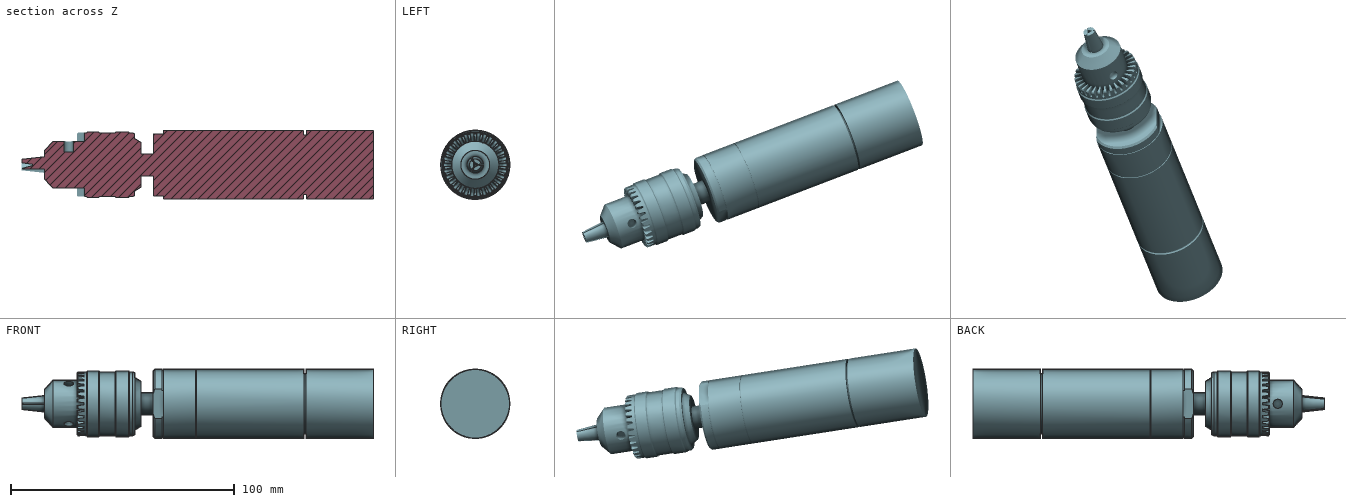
import cadquery as cq

total_length = 157.0

nose_start = 10.0
jaw_length = nose_start
jaw_tip_dia = 5.2
jaw_base_dia = 7.4
jaw_count = 3
jaw_gap = 0.6
jaw_gap_inner_radius = 1.9
grip_corner_radius = 1.5
grip_depth = 4.7
grip_taper = 8

nose_tip_dia = 12.9
nose_dia = 21.0
nose_cone_end = 13.8
key_hole_dia = 4.1
key_hole_depth = 4.7
key_hole_x = 20.9
key_hole_count = 3

sleeve_start = 24.6
sleeve_end = 50.4
sleeve_dia = 28.5
sleeve_edge = 0.5
band_dia = 29.5
band_bevel = 0.5
bands = ((28.9, 34.7), (41.6, 48.0))
sleeve_rear_bevel = 1.0

tooth_count = 30
tooth_depth = 3.1
slot_mouth_width = 1.7
slot_bottom_dia = 1.0

rear_cone_front_dia = 23.5
rear_cone_back_dia = 20.1
rear_cone_end = 53.2
shaft_dia = 10.0

handle_start = 58.5
handle_dia = 31.0
handle_chamfer = 0.8
flats_end = 63.1
flats_width = 28.0
seam_width = 0.5
seam_depth = 0.3
seam_x = 77.5
groove_start = 125.9
groove_width = 1.0
groove_dia = 26.8


def cylinder(start, end, dia):
    """Solid cylinder on the X axis."""
    return cq.Workplane("YZ").workplane(offset=start).circle(dia / 2).extrude(end - start)


def cone(start, end, start_dia, end_dia):
    """Solid frustum on the X axis."""
    outline = [(start, 0), (start, start_dia / 2), (end, end_dia / 2), (end, 0)]
    return cq.Workplane("XY").polyline(outline).close().revolve(360, (0, 0, 0), (1, 0, 0))


def ring_cut(start, width, inner_dia):
    """Ring that removes everything outside inner_dia."""
    return cylinder(start, start + width, 2 * handle_dia).cut(cylinder(start, start + width, inner_dia))


def around_axis(tool, count):
    """Copies of tool spaced evenly about the X axis."""
    step = 360 / count
    return [tool.rotate((0, 0, 0), (1, 0, 0), step * i) for i in range(count)]


def make_jaws():
    jaws = cone(0, jaw_length, jaw_tip_dia, jaw_base_dia)
    grip = cq.Workplane("YZ").polygon(3, 2 * grip_corner_radius).extrude(grip_depth, taper=grip_taper)
    jaws = jaws.cut(grip.rotate((0, 0, 0), (1, 0, 0), 180))
    gap = cq.Workplane("XY").box(jaw_length, jaw_base_dia, jaw_gap, centered=(False, False, True))
    gap = gap.translate((0, -jaw_gap_inner_radius - jaw_base_dia, 0))
    for tool in around_axis(gap, jaw_count):
        jaws = jaws.cut(tool)
    return jaws


def make_nose():
    nose = cone(nose_start, nose_cone_end, nose_tip_dia, nose_dia)
    nose = nose.union(cylinder(nose_cone_end, sleeve_end, nose_dia))
    hole = (
        cq.Workplane("XZ", origin=(key_hole_x, nose_dia / 2, 0))
        .circle(key_hole_dia / 2)
        .extrude(key_hole_depth)
    )
    for tool in around_axis(hole, key_hole_count):
        nose = nose.cut(tool)
    return nose


def make_tooth_slot():
    """Radial slot toward -Y, wide at the sleeve front and narrowing to a round bottom."""
    half_mouth = slot_mouth_width / 2
    bottom_radius = slot_bottom_dia / 2
    bottom = sleeve_start + tooth_depth
    return (
        cq.Workplane("XZ")
        .moveTo(sleeve_start, -half_mouth)
        .lineTo(bottom - bottom_radius, -bottom_radius)
        .threePointArc((bottom, 0), (bottom - bottom_radius, bottom_radius))
        .lineTo(sleeve_start, half_mouth)
        .close()
        .extrude(band_dia / 2)
    )


def make_sleeve():
    edge_dia = sleeve_dia - 2 * sleeve_edge
    front_bevel_end = sleeve_start + sleeve_edge
    rear_bevel_start = sleeve_end - sleeve_rear_bevel
    sleeve = cone(sleeve_start, front_bevel_end, edge_dia, sleeve_dia)
    sleeve = sleeve.union(cylinder(front_bevel_end, rear_bevel_start, sleeve_dia))
    sleeve = sleeve.union(cone(rear_bevel_start, sleeve_end, sleeve_dia, edge_dia))
    for start, end in bands:
        sleeve = sleeve.union(cylinder(start, end, band_dia).edges().chamfer(band_bevel))
    for tool in around_axis(make_tooth_slot(), tooth_count):
        sleeve = sleeve.cut(tool)
    return sleeve


def make_handle():
    handle = cylinder(handle_start, total_length, handle_dia).faces("<X").chamfer(handle_chamfer)
    flats_length = flats_end - handle_start
    flats = cq.Workplane("XY").box(flats_length, flats_width, handle_dia, centered=(False, True, True))
    flats = flats.translate((handle_start, 0, 0))
    handle = handle.cut(cylinder(handle_start, flats_end, handle_dia).cut(flats))
    for start in (flats_end - seam_width, seam_x):
        handle = handle.cut(ring_cut(start, seam_width, handle_dia - 2 * seam_depth))
    return handle.cut(ring_cut(groove_start, groove_width, groove_dia))


rear_cone = cone(sleeve_end, rear_cone_end, rear_cone_front_dia, rear_cone_back_dia)
shaft = cylinder(rear_cone_end, handle_start, shaft_dia)

result = (
    make_handle()
    .union(shaft)
    .union(rear_cone)
    .union(make_sleeve())
    .union(make_nose())
    .union(make_jaws())
)